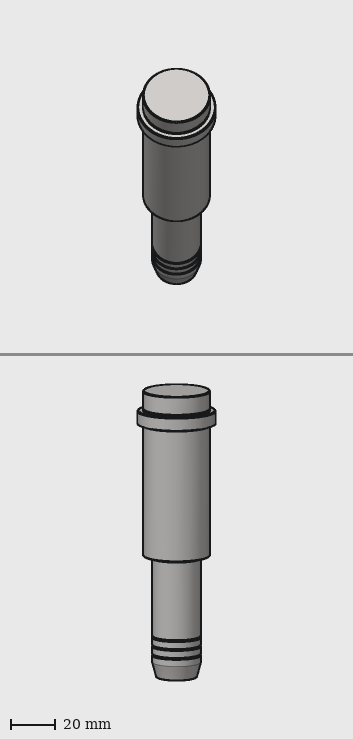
import cadquery as cq

total_length = 130.0
flange_top = 9.0
flange_bottom = 15.0
body_bottom = 75.0
neck_bottom = 76.0
taper_start = 123.0

flange_radius = 17.48
body_radius = 15.02
shank_radius = 10.98
neck_radius = 10.5
tip_radius = 9.1

edge_chamfer = 0.5
tip_chamfer = 0.4
relief_width = 0.9
relief_depth = 0.5
groove_width = 1.0
groove_depth = 0.4
groove_count = 3
groove_pitch = 4.0
first_groove_top = 111.0


def cylinder(radius, top, bottom):
    """Solid cylinder between two depths below the top face."""
    return cq.Workplane("XY").workplane(offset=total_length - bottom).circle(radius).extrude(bottom - top)


def make_body():
    """Large diameter: chamfered barrel and head with a flange whose upper rim is chamfered."""
    barrel = cylinder(body_radius, 0, body_bottom).edges().chamfer(edge_chamfer)
    flange = cylinder(flange_radius, flange_top, flange_bottom).faces(">Z").chamfer(edge_chamfer)
    return barrel.union(flange)


def make_shank():
    """Smaller diameter: neck, shank and tapered tip."""
    neck = cylinder(neck_radius, body_bottom, neck_bottom)
    shank = cylinder(shank_radius, neck_bottom, taper_start)
    tip = (
        cq.Workplane("XY")
        .circle(tip_radius)
        .workplane(offset=total_length - taper_start)
        .circle(shank_radius)
        .loft(ruled=True)
        .faces("<Z")
        .chamfer(tip_chamfer)
    )
    return neck.union(shank).union(tip)


def make_groove(radius, top, width, depth):
    """Ring with a V-shaped section that cuts one groove into a cylinder of the given radius."""
    z_top = total_length - top
    section = [
        (radius, z_top),
        (radius - depth, z_top - width / 2),
        (radius, z_top - width),
    ]
    return cq.Workplane("XZ").polyline(section).close().revolve(360, (0, 0, 0), (0, 1, 0))


result = make_body().union(make_shank())

for relief_top in (flange_top - relief_width, flange_bottom):
    result = result.cut(make_groove(body_radius, relief_top, relief_width, relief_depth))

for index in range(groove_count):
    groove_top = first_groove_top + index * groove_pitch
    result = result.cut(make_groove(shank_radius, groove_top, groove_width, groove_depth))